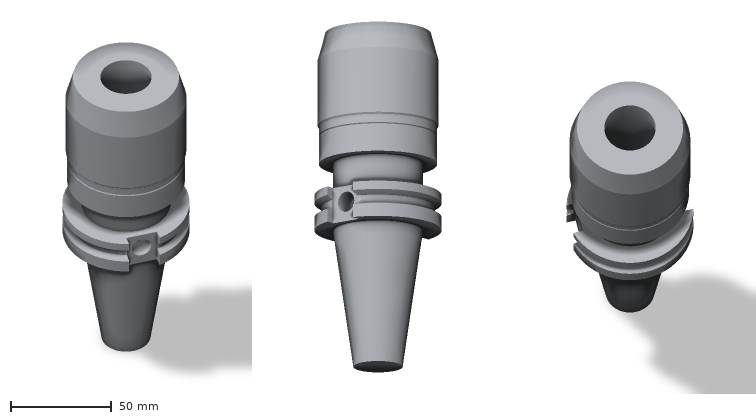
import cadquery as cq

total_height = 169.8
nose_base = 156.1
sleeve_base = 123.0
sleeve_bevel = 0.8
ring_groove_top = 117.9
ring_groove_width = 0.8
body_base = 103.3
collar_top = 87.5
collar_base = 69.5
taper_top = 68.5

groove_upper_edge = 83.2
groove_upper_root = 81.2
groove_lower_root = 77.5
groove_lower_edge = 76.1

nose_radius = 26.3
sleeve_radius = 30.0
body_radius = 29.4
ring_groove_depth = 0.5
neck_radius = 22.3
collar_radius = 31.6
groove_root_radius = 28.2
relief_radius = 21.9
taper_ratio = 7 / 24
taper_end_radius = neck_radius - taper_top * taper_ratio / 2

bore_radius = 12.7
bore_depth = total_height - collar_top

slot_width = 16.0
slot_floor = 25.8
slot_hole_diameter = 10.2
slot_hole_depth = 10.2
slot_hole_height = (groove_upper_root + groove_lower_root) / 2


def make_holder():
    """Revolve the outer profile around Z."""
    ring_groove_root = body_radius - ring_groove_depth
    ring_groove_base = ring_groove_top - ring_groove_width
    profile = [
        (0, 0),
        (taper_end_radius, 0),
        (neck_radius, taper_top),
        (relief_radius, collar_base),
        (collar_radius, collar_base),
        (collar_radius, groove_lower_edge),
        (groove_root_radius, groove_lower_root),
        (groove_root_radius, groove_upper_root),
        (collar_radius, groove_upper_edge),
        (collar_radius, collar_top),
        (neck_radius, collar_top),
        (neck_radius, body_base),
        (body_radius, body_base),
        (body_radius, ring_groove_base),
        (ring_groove_root, (ring_groove_base + ring_groove_top) / 2),
        (body_radius, ring_groove_top),
        (body_radius, sleeve_base - sleeve_bevel),
        (sleeve_radius, sleeve_base),
        (sleeve_radius, nose_base),
        (nose_radius, total_height),
        (0, total_height),
    ]
    return cq.Workplane("XZ").polyline(profile).close().revolve(360, (0, 0, 0), (0, 1, 0))


def make_bore():
    """Blind cylinder down from the top face."""
    return cq.Workplane("XY", origin=(0, 0, total_height)).circle(bore_radius).extrude(-bore_depth)


def make_drive_slot(side):
    """Slot through the full collar height plus its floor hole; side is -1 or +1 along X."""
    slot_center = side * (slot_floor + collar_radius) / 2
    slot = (
        cq.Workplane("XY", origin=(slot_center, 0, collar_base))
        .rect(collar_radius - slot_floor, slot_width)
        .extrude(collar_top - collar_base)
    )
    hole = (
        cq.Workplane("YZ", origin=(side * slot_floor, 0, slot_hole_height))
        .circle(slot_hole_diameter / 2)
        .extrude(-side * slot_hole_depth)
    )
    return slot.union(hole)


result = make_holder().cut(make_bore())
for side in (-1, 1):
    result = result.cut(make_drive_slot(side))